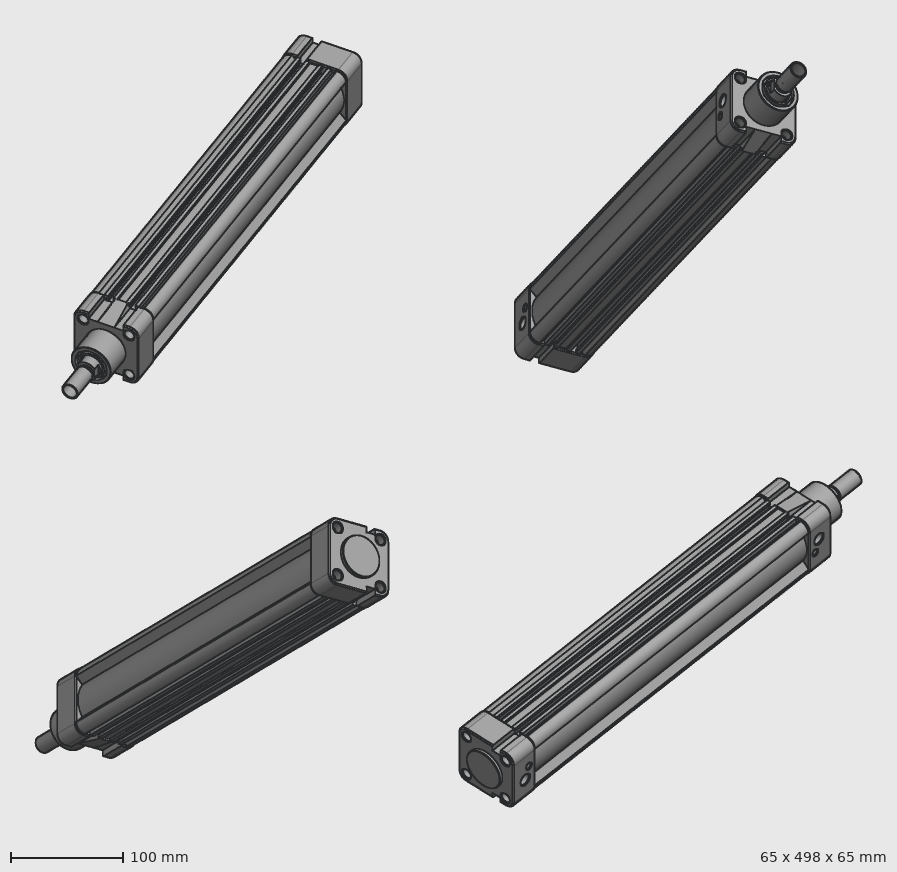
import cadquery as cq


total_length = 498.0
body_width = 65.0
half_width = body_width / 2
corner_radius = 9.5
corner_centre = half_width - corner_radius
edge_chamfer = 1.25
hole_chamfer = 1.0

cap_length = 30.0
front_collar_length = 28.5
rear_collar_length = 3.5
rod_tip_y = -68.0
rear_end_y = rod_tip_y + total_length
rear_face_y = rear_end_y - rear_collar_length
barrel_start_y = cap_length
barrel_end_y = rear_face_y - cap_length
collar_face_y = -front_collar_length

barrel_inset = 0.5
tube_radius = 30.0
slot_centre_x = 11.0
slot_rails_width = 13.0
slot_opening_width = 5.5
slot_cavity_width = 9.0
slot_rails_top_z = 32.0
slot_lip_underside_z = 29.0
slot_floor_z = 22.5

groove_outer = 17.5
groove_floor_z = 26.5
rear_groove_inner = 8.0
wedge_base_half_width = 8.5
wedge_top_half_width = 6.5
wedge_rear_z = 32.0

collar_diameter = 40.0
collar_chamfer = 0.5
wiper_recess_diameter = 32.0
wiper_diameter = 27.0
wiper_bore_diameter = 23.0
wiper_depth = 4.0

bolt_hole_diameter = 7.0
bolt_counterbore_diameter = 11.5
bolt_counterbore_depth = 10.0

port_diameter = 13.0
port_depth = 7.5
port_from_end = 16.5
port_z = 6.0
screw_hole_diameter = 8.0
screw_hole_depth = 5.0
screw_from_end = 21.5
screw_z = 7.5

rod_diameter = 20.0
rod_across_flats = 16.5
rod_socket_depth = cap_length
flats_start_y = -30.0
flats_end_y = -37.5
thread_start_y = -40.5
relief_diameter = 14.0
thread_diameter = 16.0
tip_bore_diameter = 13.5
tip_bore_depth = 20.0


def section_at(y):
    """Workplane across the cylinder with local axes X and Z; negative extrusions run towards +Y."""
    return cq.Workplane(cq.Plane(origin=(0, y, 0), xDir=(1, 0, 0), normal=(0, -1, 0)))


def disc(diameter, start_y, end_y):
    return section_at(start_y).circle(diameter / 2).extrude(start_y - end_y)


def rounded_block(start_y, end_y, inset=0):
    side = body_width - 2 * inset
    block = section_at(start_y).rect(side, side).extrude(start_y - end_y)
    return block.edges("|Y").fillet(corner_radius - inset)


def box_between(x_range, y_range, z_range):
    sizes = [high - low for low, high in (x_range, y_range, z_range)]
    corner = (x_range[0], y_range[0], z_range[0])
    return cq.Workplane("XY").box(*sizes, centered=False).translate(corner)


def both_faces(shape):
    """A shape on the top face together with its mirror image on the bottom face."""
    return shape.union(shape.mirror("XY"))


def barrel_prism(outline):
    return section_at(barrel_start_y).polyline(outline).close().extrude(barrel_start_y - barrel_end_y)


def flanked_column(x_sign, z_sign):
    """Corner column whose two inner flanks slope at 45 degrees into the tube."""
    outline = [
        (half_width, half_width),
        (corner_centre, half_width),
        (0, half_width - corner_centre),
        (half_width - corner_centre, 0),
        (half_width, corner_centre),
    ]
    return barrel_prism([(x_sign * x, z_sign * z) for x, z in outline])


def slot_strip(side, width, low_z, high_z):
    """Full-length strip centred on a sensor slot in the top face, on one side of the axis."""
    middle = side * slot_centre_x
    x_range = (middle - width / 2, middle + width / 2)
    return box_between(x_range, (barrel_start_y, barrel_end_y), (low_z, high_z))


def barrel():
    """Round tube with four corner columns and a pair of raised T-slots top and bottom."""
    body = disc(2 * tube_radius, barrel_start_y, barrel_end_y)
    for x_sign in (-1, 1):
        for z_sign in (-1, 1):
            body = body.union(flanked_column(x_sign, z_sign))
    body = body.intersect(rounded_block(barrel_start_y, barrel_end_y, barrel_inset))
    for side in (-1, 1):
        rails = slot_strip(side, slot_rails_width, slot_floor_z, slot_rails_top_z)
        opening = slot_strip(side, slot_opening_width, slot_floor_z, half_width)
        cavity = slot_strip(side, slot_cavity_width, slot_floor_z, slot_lip_underside_z)
        body = body.union(both_faces(rails)).cut(both_faces(opening.union(cavity)))
    return body


def cap_blank(start_y):
    block = rounded_block(start_y, start_y + cap_length)
    return block.faces("<Y or >Y").chamfer(edge_chamfer)


def front_cap():
    """Cap with a wide channel top and bottom, each holding a central wedge."""
    channel = box_between((-groove_outer, groove_outer), (0, cap_length), (groove_floor_z, half_width))
    ramp_profile = [(0, groove_floor_z), (cap_length, groove_floor_z), (cap_length, wedge_rear_z)]
    ramp = cq.Workplane("YZ").polyline(ramp_profile).close().extrude(wedge_base_half_width, both=True)
    end_profile = [
        (-wedge_base_half_width, groove_floor_z),
        (wedge_base_half_width, groove_floor_z),
        (wedge_top_half_width, wedge_rear_z),
        (-wedge_top_half_width, wedge_rear_z),
    ]
    wedge = ramp.intersect(section_at(0).polyline(end_profile).close().extrude(-cap_length))
    return cap_blank(0).cut(both_faces(channel)).union(both_faces(wedge))


def rear_cap():
    """Cap with one narrow groove top and bottom that continues the left-hand slots."""
    groove = box_between(
        (-groove_outer, -rear_groove_inner), (barrel_end_y, rear_face_y), (groove_floor_z, half_width)
    )
    return cap_blank(barrel_end_y).cut(both_faces(groove))


def collars():
    front = disc(collar_diameter, collar_face_y, 0).faces("<Y").chamfer(collar_chamfer)
    rear = disc(collar_diameter, rear_face_y, rear_end_y).faces(">Y").chamfer(collar_chamfer)
    return front.union(rear)


def wiper_seat():
    """Cutter that leaves the wiper as a thin ring standing in the mouth of the collar."""
    floor_y = collar_face_y + wiper_depth
    ring = disc(wiper_recess_diameter, collar_face_y, floor_y)
    ring = ring.cut(disc(wiper_diameter, collar_face_y, floor_y))
    return ring.union(disc(wiper_bore_diameter, collar_face_y, floor_y))


def flared_hole(diameter, depth):
    """Cutter from the origin along +Z: a chamfered mouth of the given diameter, then a narrower bore."""
    bore_radius = diameter / 2 - hole_chamfer
    outline = [(0, 0), (diameter / 2, 0), (bore_radius, hole_chamfer), (bore_radius, depth), (0, depth)]
    return cq.Workplane("XZ").polyline(outline).close().revolve(360, (0, 0), (0, 1))


def fixing_holes():
    """Four tie-rod holes right through the body, counterbored at both ends."""
    counterbore = flared_hole(bolt_counterbore_diameter, bolt_counterbore_depth)
    hole = disc(bolt_hole_diameter, 0, rear_face_y)
    hole = hole.union(counterbore.rotate((0, 0, 0), (1, 0, 0), -90))
    hole = hole.union(counterbore.rotate((0, 0, 0), (1, 0, 0), 90).translate((0, rear_face_y, 0)))
    cutter = cq.Workplane()
    for x in (-corner_centre, corner_centre):
        for z in (-corner_centre, corner_centre):
            cutter = cutter.add(hole.translate((x, 0, z)))
    return cutter.combine()


def side_hole(diameter, depth, y, z):
    return flared_hole(diameter, depth).rotate((0, 0, 0), (0, 1, 0), 90).translate((-half_width, y, z))


def side_holes():
    """Port and cushioning screw hole of each cap, the rear pair turned half round."""
    cutter = cq.Workplane()
    for end_y, inward in ((0, 1), (rear_face_y, -1)):
        port = side_hole(port_diameter, port_depth, end_y + inward * port_from_end, inward * port_z)
        screw_y = end_y + inward * screw_from_end
        screw_hole = side_hole(screw_hole_diameter, screw_hole_depth, screw_y, -inward * screw_z)
        cutter = cutter.add(port).add(screw_hole)
    return cutter.combine()


def make_housing():
    housing = barrel().union(front_cap()).union(rear_cap()).union(collars())
    housing = housing.cut(fixing_holes()).cut(side_holes()).cut(wiper_seat())
    return housing.cut(disc(rod_diameter, collar_face_y, rod_socket_depth))


def make_rod():
    """Rod with two wrench flats, a relief neck and a bored threaded end."""
    flats_length = flats_start_y - flats_end_y
    flatted = section_at(flats_end_y).rect(rod_across_flats, rod_diameter).extrude(-flats_length)
    flatted = flatted.intersect(disc(rod_diameter, flats_end_y, flats_start_y))
    rod = disc(rod_diameter, flats_start_y, rod_socket_depth).union(flatted)
    rod = rod.union(disc(relief_diameter, thread_start_y, flats_end_y))
    rod = rod.union(disc(thread_diameter, rod_tip_y, thread_start_y))
    return rod.cut(disc(tip_bore_diameter, rod_tip_y, rod_tip_y + tip_bore_depth))


housing = make_housing()
piston_rod = make_rod()
result = cq.Compound.makeCompound([housing.val(), piston_rod.val()])